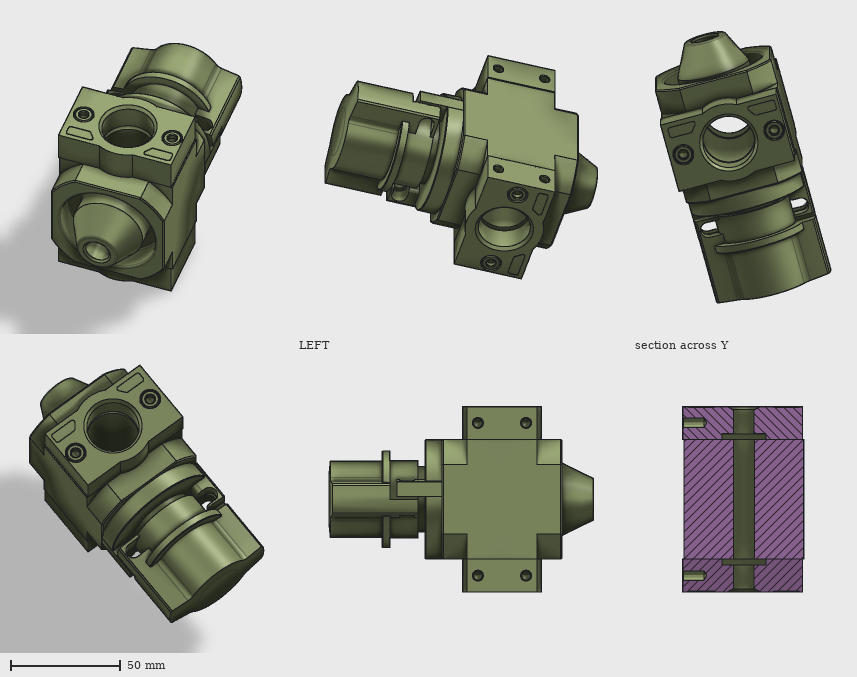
import cadquery as cq
import math


TOTAL_LENGTH = 121.3
TOTAL_HEIGHT = 85.0
NOSE_TIP_Y = -42.0

BLOCK = 55.0
BLOCK_CORNER_DIA = 63.5
BLOCK_CHAMFER = 0.6
BORE_DIA = 24.0

RECESS_DIA = 46.5
RECESS_DEPTH = 12.0
EDGE_RADIUS = 1.0

DISC_DIA = 54.8
DISC_CHAMFER = 0.4
DISC_REAR_Y = 35.3
ARM_END_Y = 48.1
ARM_BOTTOM_Z = 1.2
ARM_INNER_X = 18.1
ARM_INNER_RADIUS = 2.4
ARM_SHOULDER_Z = 8.2
ARM_EDGE_WIDTH = 0.7
ARM_EDGE_DROP = 0.4
SLOPE_ANGLE = 7.0

SLOT_WIDTH = 7.0
SLOT_Y = 43.5
ARM_SLOT_END_X = 26.0
WING_SLOT_END_X = 25.2

FLANGE_SHIFT_X = -0.6
FLANGE_DEPTH = 32.1
BOSS_DIA = 36.0
FLANGE_BORE_DIA = 23.9
FLANGE_BORE_MOUTH_DIA = 26.7
SEAL_GROOVE_DIA = 29.7
SEAL_GROOVE_DEPTH = 2.5
SIDE_HOLE_Y = 11.0
SIDE_HOLE_DEPTH = 9.7

LABEL_DEPTH = 0.2
LABEL_OUTER_X = 25.3
LABEL_LONG_X = 11.4
LABEL_SHORT_X = 15.2
LABEL_NEAR_Y = -9.0
LABEL_FAR_Y = -13.8
LABEL_RADIUS = 1.1

SCREW_X = 21.6
SCREW_HEAD_DIA = 8.5
SCREW_HEAD_HEIGHT = 5.0
SCREW_HEAD_CHAMFER = 0.5
SCREW_SHANK_DIA = 5.0
SCREW_LENGTH = 20.0
COUNTERBORE_DIA = 9.5

DRILL_MOUTH_DIA = 5.0
DRILL_DIA = 4.1
SOCKET_DEPTH = 2.5
DRILL_POINT_ANGLE = 118

NOSE_BASE_DIA = 33.8
NOSE_SHOULDER_Y = -27.0
NOSE_TIP_DIA = 19.2
NOSE_HOLE_MOUTH_DIA = 13.3
NOSE_HOLE_DIA = 11.4
NOSE_HOLE_DEPTH = 12.1

NECK_DIA = 30.2
BARREL_DIA = 35.4
COLLAR_DIA = 44.4
COLLAR_CHAMFER = 0.4
TAIL_DIA = 34.9
BARREL_FRONT_Y = 38.6
COLLAR_FRONT_Y = 51.4
COLLAR_REAR_Y = 55.0
PLUG_FACE_DIA = 22.8
PLUG_CONE_DROP = 1.6
WING_DIA = 54.6
WING_EDGE_X = 25.8
WING_EDGE_Z = 7.2
WING_EDGE_DROP = 0.8
COVE_RADIUS = 4.1

HALF = BLOCK / 2
RECESS_FLOOR_Y = RECESS_DEPTH - HALF
PLUG_END_Y = NOSE_TIP_Y + TOTAL_LENGTH
FLANGE_TOP_Z = TOTAL_HEIGHT / 2
FLANGE_MIDDLE_Z = (HALF + FLANGE_TOP_Z) / 2
FLANGE_LEFT_X = FLANGE_SHIFT_X - HALF
SLOPE = math.radians(SLOPE_ANGLE)


def box_between(x_range, y_range, z_range):
    """Box from its lower and upper limits along each axis."""
    size = [high - low for low, high in (x_range, y_range, z_range)]
    return (
        cq.Workplane("XY")
        .box(*size, centered=False)
        .translate((x_range[0], y_range[0], z_range[0]))
    )


def turned_about_y(profile):
    """Solid of revolution about Y from a (radius, y) outline."""
    return cq.Workplane("XY").polyline(profile).close().revolve(360, (0, 0, 0), (0, 1, 0))


def turned_about_z(profile):
    """Solid of revolution about Z from a (radius, z) outline."""
    return cq.Workplane("XZ").polyline(profile).close().revolve(360, (0, 0, 0), (0, 1, 0))


def cylinder_z(diameter, z_low, z_high):
    return cq.Workplane("XY").workplane(offset=z_low).circle(diameter / 2).extrude(z_high - z_low)


def half_turn_about_y(shape):
    return shape.rotate((0, 0, 0), (0, 1, 0), 180)


def drill_cutter(depth):
    """Drill shape along -Z from the origin: chamfered mouth, straight hole, conical end."""
    radius = DRILL_DIA / 2
    mouth = DRILL_MOUTH_DIA / 2
    point = radius / math.tan(math.radians(DRILL_POINT_ANGLE / 2))
    return turned_about_z(
        [(0, 0), (mouth, 0), (radius, radius - mouth), (radius, -depth), (0, -depth - point)]
    )


def slot_cutter(end_x):
    """Vertical slot on the -X side, round at its outer end and open towards the axis."""
    radius = SLOT_WIDTH / 2
    centre_x = radius - end_x
    return (
        cq.Workplane("XY")
        .workplane(offset=-HALF)
        .moveTo(0, SLOT_Y - radius)
        .lineTo(centre_x, SLOT_Y - radius)
        .threePointArc((-end_x, SLOT_Y), (centre_x, SLOT_Y + radius))
        .lineTo(0, SLOT_Y + radius)
        .close()
        .extrude(BLOCK)
    )


def make_block():
    """Cube with rounded long edges at both ends and a full square middle."""
    ends = cq.Workplane("XY").box(BLOCK, BLOCK, BLOCK)
    corner_round = cq.Workplane("XZ").circle(BLOCK_CORNER_DIA / 2).extrude(HALF, both=True)
    ends = ends.intersect(corner_round).faces("<Y or >Y").chamfer(BLOCK_CHAMFER)
    middle = cq.Workplane("XY").box(BLOCK, FLANGE_DEPTH, BLOCK)
    return ends.union(middle)


def make_recess_cutter():
    """Round recess in the front face with a rounded floor corner."""
    recess = cq.Workplane("XZ", origin=(0, RECESS_FLOOR_Y, 0)).circle(RECESS_DIA / 2).extrude(RECESS_DEPTH)
    return recess.faces(">Y").edges().fillet(EDGE_RADIUS)


def make_nose():
    """Conical nose on a short cylinder that flares out onto the recess floor."""
    base = NOSE_BASE_DIA / 2
    bend = EDGE_RADIUS * (1 - math.sqrt(0.5))
    nose = (
        cq.Workplane("XY")
        .moveTo(0, RECESS_FLOOR_Y)
        .lineTo(base + EDGE_RADIUS, RECESS_FLOOR_Y)
        .threePointArc((base + bend, RECESS_FLOOR_Y - bend), (base, RECESS_FLOOR_Y - EDGE_RADIUS))
        .lineTo(base, NOSE_SHOULDER_Y)
        .lineTo(NOSE_TIP_DIA / 2, NOSE_TIP_Y)
        .lineTo(0, NOSE_TIP_Y)
        .close()
        .revolve(360, (0, 0, 0), (0, 1, 0))
    )
    return nose.faces("<Y").edges().fillet(EDGE_RADIUS)


def make_nose_hole_cutter():
    """Blind hole in the nose tip with a chamfered mouth."""
    mouth, hole = NOSE_HOLE_MOUTH_DIA / 2, NOSE_HOLE_DIA / 2
    hole_end_y = NOSE_TIP_Y + NOSE_HOLE_DEPTH
    return turned_about_y(
        [
            (0, NOSE_TIP_Y),
            (mouth, NOSE_TIP_Y),
            (hole, NOSE_TIP_Y + mouth - hole),
            (hole, hole_end_y),
            (0, hole_end_y),
        ]
    )


def make_housing():
    """Block with the nose in its front recess and the through bore."""
    housing = make_block().cut(make_recess_cutter())
    recess_mouth = cq.selectors.RadiusNthSelector(0)
    housing = housing.faces("<Y").edges(recess_mouth).fillet(EDGE_RADIUS)
    housing = housing.union(make_nose()).cut(make_nose_hole_cutter())
    return housing.cut(cylinder_z(BORE_DIA, -HALF, HALF))


def make_arm():
    """Hook arm on the -X side with a gently sloped top and a slot."""
    bevel_x = ARM_EDGE_WIDTH - HALF
    inner_top_z = ARM_SHOULDER_Z - (ARM_INNER_X + bevel_x) * math.tan(SLOPE)
    arm = (
        cq.Workplane("XZ", origin=(0, HALF, 0))
        .polyline(
            [
                (-HALF, ARM_BOTTOM_Z),
                (-HALF, ARM_SHOULDER_Z - ARM_EDGE_DROP),
                (bevel_x, ARM_SHOULDER_Z),
                (-ARM_INNER_X, inner_top_z),
                (-ARM_INNER_X, ARM_BOTTOM_Z),
            ]
        )
        .close()
        .extrude(HALF - ARM_END_Y)
        .edges("|Y and >X and >Z")
        .fillet(ARM_INNER_RADIUS)
    )
    return arm.cut(slot_cutter(ARM_SLOT_END_X))


def make_lock_ring():
    """Disc behind the housing block with two hook arms half a turn apart."""
    disc = (
        cq.Workplane("XZ", origin=(0, HALF, 0))
        .circle(DISC_DIA / 2)
        .extrude(HALF - DISC_REAR_Y)
        .faces(">Y")
        .chamfer(DISC_CHAMFER)
    )
    arm = make_arm()
    return disc.union(arm).union(half_turn_about_y(arm))


def make_screw(side):
    """Upper screw on the given X side: socket head and plain shank."""
    head_bottom = FLANGE_TOP_Z - SCREW_HEAD_HEIGHT
    head = cylinder_z(SCREW_HEAD_DIA, head_bottom, FLANGE_TOP_Z).faces(">Z").chamfer(SCREW_HEAD_CHAMFER)
    shank = cylinder_z(SCREW_SHANK_DIA, head_bottom - SCREW_LENGTH, head_bottom)
    socket = drill_cutter(SOCKET_DEPTH).translate((0, 0, FLANGE_TOP_Z))
    return head.union(shank).cut(socket).translate((side * SCREW_X, 0, 0))


def make_label_pocket(side):
    """Shallow four-sided pocket with rounded corners and one slanted end."""
    return (
        cq.Workplane("XY")
        .workplane(offset=FLANGE_TOP_Z - LABEL_DEPTH)
        .polyline(
            [
                (side * LABEL_OUTER_X, LABEL_FAR_Y),
                (side * LABEL_OUTER_X, LABEL_NEAR_Y),
                (side * LABEL_SHORT_X, LABEL_NEAR_Y),
                (side * LABEL_LONG_X, LABEL_FAR_Y),
            ]
        )
        .close()
        .extrude(LABEL_DEPTH)
        .edges("|Z")
        .fillet(LABEL_RADIUS)
    )


def make_flange_bore_cutter():
    """Bore with a chamfered mouth and a seal groove on the housing side."""
    bore, mouth = FLANGE_BORE_DIA / 2, FLANGE_BORE_MOUTH_DIA / 2
    groove_top = HALF + SEAL_GROOVE_DEPTH
    return turned_about_z(
        [
            (0, HALF),
            (SEAL_GROOVE_DIA / 2, HALF),
            (SEAL_GROOVE_DIA / 2, groove_top),
            (bore, groove_top),
            (bore, FLANGE_TOP_Z - (mouth - bore)),
            (mouth, FLANGE_TOP_Z),
            (0, FLANGE_TOP_Z),
        ]
    )


def make_flange():
    """Upper flange, bolted to the top face of the housing."""
    plate = box_between(
        (FLANGE_LEFT_X, FLANGE_LEFT_X + BLOCK),
        (-FLANGE_DEPTH / 2, FLANGE_DEPTH / 2),
        (HALF, FLANGE_TOP_Z),
    )
    flange = plate.union(cylinder_z(BOSS_DIA, HALF, FLANGE_TOP_Z)).cut(make_flange_bore_cutter())
    side_hole = drill_cutter(SIDE_HOLE_DEPTH).rotate((0, 0, 0), (0, 1, 0), -90)
    for side in (-1, 1):
        counterbore = cylinder_z(COUNTERBORE_DIA, FLANGE_TOP_Z - SCREW_HEAD_HEIGHT, FLANGE_TOP_Z)
        shank_hole = cylinder_z(SCREW_SHANK_DIA, HALF, FLANGE_TOP_Z)
        flange = flange.cut(counterbore.union(shank_hole).translate((side * SCREW_X, 0, 0)))
        flange = flange.cut(make_label_pocket(side))
        flange = flange.cut(side_hole.translate((FLANGE_LEFT_X, side * SIDE_HOLE_Y, FLANGE_MIDDLE_Z)))
    return flange


def make_plug_core():
    """Round neck, barrel, collar and tail."""
    return turned_about_y(
        [
            (0, DISC_REAR_Y),
            (NECK_DIA / 2, DISC_REAR_Y),
            (NECK_DIA / 2, BARREL_FRONT_Y),
            (BARREL_DIA / 2, BARREL_FRONT_Y),
            (BARREL_DIA / 2, COLLAR_FRONT_Y),
            (COLLAR_DIA / 2, COLLAR_FRONT_Y),
            (COLLAR_DIA / 2, COLLAR_REAR_Y - COLLAR_CHAMFER),
            (COLLAR_DIA / 2 - COLLAR_CHAMFER, COLLAR_REAR_Y),
            (TAIL_DIA / 2, COLLAR_REAR_Y),
            (TAIL_DIA / 2, PLUG_END_Y),
            (0, PLUG_END_Y),
        ]
    )


def make_cove():
    """Concave blend that touches the upper face of the -X wing and the round tail."""
    tail_radius = TAIL_DIA / 2
    normal = cq.Vector(-math.sin(SLOPE), math.cos(SLOPE))
    outward = cq.Vector(-math.cos(SLOPE), -math.sin(SLOPE))
    face_distance = normal.dot(cq.Vector(-WING_EDGE_X, WING_EDGE_Z))
    centre_distance = face_distance + COVE_RADIUS
    along_face = math.sqrt((tail_radius + COVE_RADIUS) ** 2 - centre_distance ** 2)
    centre = normal * centre_distance + outward * along_face
    to_tail = centre.normalized() * -1
    face_end = centre - normal * COVE_RADIUS
    tail_end = centre + to_tail * COVE_RADIUS
    middle = centre + (to_tail - normal).normalized() * COVE_RADIUS
    return (
        cq.Workplane("XZ", origin=(0, COLLAR_REAR_Y, 0))
        .moveTo(face_end.x, face_end.y)
        .threePointArc((middle.x, middle.y), (tail_end.x, tail_end.y))
        .lineTo(0, 0)
        .close()
        .extrude(COLLAR_REAR_Y - PLUG_END_Y)
    )


def make_wing():
    """Wing on the -X side: rounded outer face, sloped faces, coves and relief for the arm."""
    root_z = WING_EDGE_Z + WING_EDGE_X * math.tan(SLOPE)
    bevel_z = WING_EDGE_Z - WING_EDGE_DROP
    bevel_x = math.sqrt((WING_DIA / 2) ** 2 - bevel_z ** 2)
    wing = (
        cq.Workplane("XZ", origin=(0, BARREL_FRONT_Y, 0))
        .moveTo(0, root_z)
        .lineTo(-WING_EDGE_X, WING_EDGE_Z)
        .lineTo(-bevel_x, bevel_z)
        .threePointArc((-WING_DIA / 2, 0), (-bevel_x, -bevel_z))
        .lineTo(-WING_EDGE_X, -WING_EDGE_Z)
        .lineTo(0, -root_z)
        .close()
        .extrude(BARREL_FRONT_Y - PLUG_END_Y)
    )
    relief = box_between((-HALF, 0), (BARREL_FRONT_Y, COLLAR_FRONT_Y), (0, root_z))
    wing = wing.cut(relief).cut(slot_cutter(WING_SLOT_END_X))
    cove = make_cove()
    return wing.union(cove).union(cove.mirror("XY"))


def make_plug():
    """Rear plug: round core and two wings, ended by a shallow cone."""
    wing = make_wing()
    plug = make_plug_core().union(wing).union(half_turn_about_y(wing))
    envelope = turned_about_y(
        [
            (0, DISC_REAR_Y),
            (HALF, DISC_REAR_Y),
            (HALF, PLUG_END_Y - PLUG_CONE_DROP),
            (PLUG_FACE_DIA / 2, PLUG_END_Y),
            (0, PLUG_END_Y),
        ]
    )
    return plug.intersect(envelope)


upper_flange = make_flange()
flanges = [upper_flange, upper_flange.mirror("XY")]

screws = []
for screw_side in (-1, 1):
    upper_screw = make_screw(screw_side)
    screws += [upper_screw, upper_screw.mirror("XY")]

housing = make_housing()
for screw in screws:
    housing = housing.cut(screw)

lock_ring = make_lock_ring()
plug = make_plug()

bodies = [housing, lock_ring, plug, *flanges, *screws]
result = cq.Compound.makeCompound([body.val() for body in bodies])